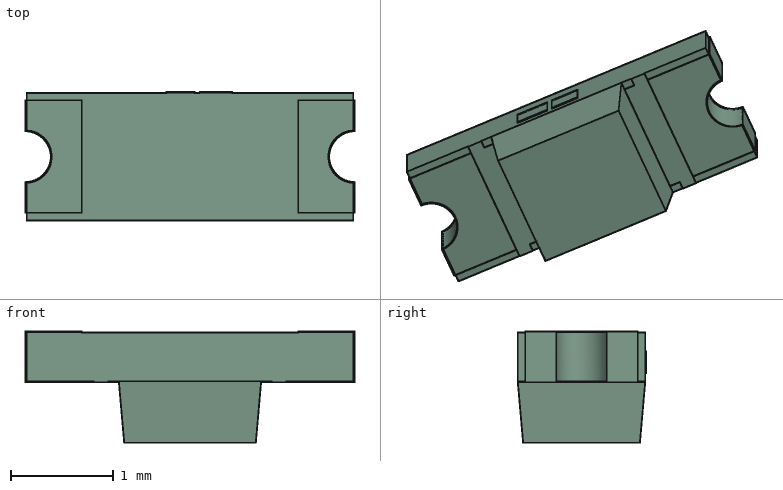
import cadquery as cq


overall_length = 3.22
foil = 0.01
end_foil = 0.013
terminal_width = 1.1
top_pad_length = 0.55
notch_radius = 0.248

board_length = overall_length - 2 * end_foil
board_width = 1.25
board_thickness = 0.48
ridge_inner_x = 0.802
ridge_outer_x = 0.945

lens_length = 1.395
lens_height = 0.602
lens_taper = 5.0

mark_spans = [(-0.232, 0.045), (0.093, 0.412)]
mark_bottom = 0.08
mark_height = 0.213

end_x = overall_length / 2


def box(x_start, x_end, width, z_bottom, z_top):
    """Block between two X and two Z planes, centred on Y = 0."""
    return (
        cq.Workplane("XY", origin=((x_start + x_end) / 2, 0, z_bottom))
        .rect(x_end - x_start, width)
        .extrude(z_top - z_bottom)
    )


def notch_cylinder(radius):
    """Upright cylinder on the -X end, running through board and plating."""
    return (
        cq.Workplane("XY", origin=(-end_x, 0, -foil))
        .circle(radius)
        .extrude(board_thickness + 2 * foil)
    )


def make_board():
    """Board with ridges on its underside and a half-round notch in each end for the plating."""
    blank = box(-board_length / 2, board_length / 2, board_width, 0, board_thickness)
    full_ridge = box(-ridge_outer_x, -ridge_inner_x, board_width, -foil, 0)
    step_to_lens = box(-ridge_inner_x, -lens_length / 2, terminal_width, -foil, 0)
    ridge = full_ridge.union(step_to_lens)
    notch = notch_cylinder(notch_radius + foil)
    return (
        blank.union(ridge)
        .union(ridge.mirror("YZ"))
        .cut(notch)
        .cut(notch.mirror("YZ"))
    )


def make_left_terminal(board):
    """Plating on the top, end, notch wall and underside of the -X end, up to the ridge."""
    wrap = box(-end_x, -end_x + top_pad_length, terminal_width, -foil, board_thickness + foil)
    bottom_pad = box(-end_x, -ridge_outer_x, terminal_width, -foil, 0)
    return (
        wrap.union(bottom_pad)
        .cut(board)
        .cut(notch_cylinder(notch_radius))
    )


def make_lens():
    """Block under the board, narrowing downward on all four sides."""
    return (
        cq.Workplane("XY")
        .rect(lens_length, board_width)
        .extrude(-lens_height, taper=lens_taper)
    )


def make_mark(x_start, x_end):
    """Thin raised rectangle on the +Y side of the board."""
    return box(x_start, x_end, foil, mark_bottom, mark_bottom + mark_height).translate(
        (0, (board_width + foil) / 2, 0)
    )


board = make_board()
lens = make_lens()
left_terminal = make_left_terminal(board)
terminals = [left_terminal, left_terminal.mirror("YZ")]
marks = [make_mark(x_start, x_end) for x_start, x_end in mark_spans]

result = cq.Compound.makeCompound(
    [solid for body in [board, lens, *terminals, *marks] for solid in body.solids().vals()]
)